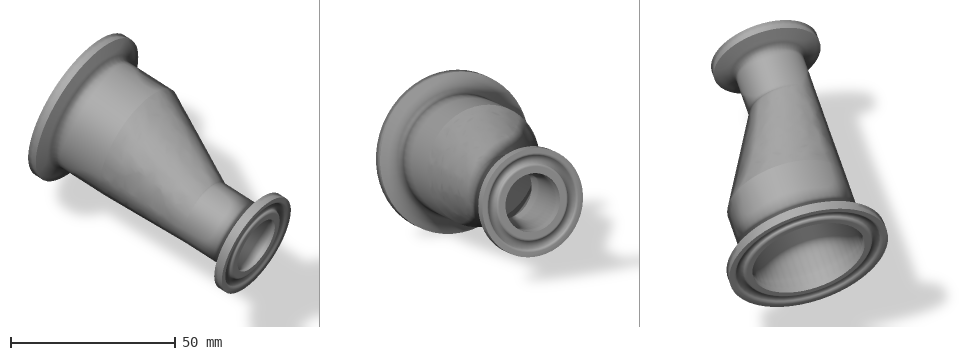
import cadquery as cq
import math

length = 75.0
cone_start = 23.0
cone_end = 55.05

large_flange_d = 50.5
large_tube_d = 38.1
large_bore_d = 35.7

small_flange_d = 34.0
small_tube_d = 21.7
small_bore_d = 18.4
small_axis_y = (small_tube_d - large_tube_d) / 2

rim_thickness = 2.9
back_slope = 20.0
neck_fillet = 1.9

groove_inset = 3.6
groove_depth = 1.6
floor_radius = 1.35
lip_radius = 0.8


def revolve_about_x(profile):
    """Close an (axial, radial) profile and revolve it about the X axis."""
    return profile.close().revolve(360, (0, 0, 0), (1, 0, 0))


def gasket_groove(flange_d):
    """Ring cutter for the groove in the flange face at X = 0."""
    middle_r = flange_d / 2 - groove_inset
    floor_center_x = groove_depth - floor_radius
    center_gap = floor_radius + lip_radius
    lip_rise = lip_radius - floor_center_x
    lip_offset = math.sqrt(center_gap**2 - lip_rise**2)
    blend_x = floor_center_x + lip_rise * floor_radius / center_gap
    blend_offset = lip_offset * floor_radius / center_gap
    lip_half_angle = math.atan2(lip_offset, lip_rise) / 2
    lip_mid_x = lip_radius * (1 - math.cos(lip_half_angle))
    lip_mid_offset = lip_offset - lip_radius * math.sin(lip_half_angle)
    return revolve_about_x(
        cq.Workplane("XY")
        .moveTo(0, middle_r - lip_offset)
        .threePointArc((lip_mid_x, middle_r - lip_mid_offset), (blend_x, middle_r - blend_offset))
        .threePointArc((groove_depth, middle_r), (blend_x, middle_r + blend_offset))
        .threePointArc((lip_mid_x, middle_r + lip_mid_offset), (0, middle_r + lip_offset))
    )


def flanged_tube(flange_d, tube_d, tube_length):
    """Solid tube end with its flange face at X = 0, running toward +X."""
    flange_r = flange_d / 2
    tube_r = tube_d / 2
    slope = math.radians(back_slope)
    corner_x = rim_thickness + (flange_r - tube_r) * math.tan(slope)
    turn = math.pi / 2 - slope
    fillet_end_x = corner_x + neck_fillet * math.tan(turn / 2)
    fillet_start_x = fillet_end_x - neck_fillet * math.sin(turn)
    fillet_start_r = tube_r + neck_fillet * (1 - math.cos(turn))
    fillet_mid_x = fillet_end_x - neck_fillet * math.sin(turn / 2)
    fillet_mid_r = tube_r + neck_fillet * (1 - math.cos(turn / 2))
    body = revolve_about_x(
        cq.Workplane("XY")
        .moveTo(0, 0)
        .lineTo(0, flange_r)
        .lineTo(rim_thickness, flange_r)
        .lineTo(fillet_start_x, fillet_start_r)
        .threePointArc((fillet_mid_x, fillet_mid_r), (fillet_end_x, tube_r))
        .lineTo(tube_length, tube_r)
        .lineTo(tube_length, 0)
    )
    return body.cut(gasket_groove(flange_d))


def at_small_end(shape):
    """Turn a tube end to face +X and move it onto the small axis."""
    return shape.rotate((0, 0, 0), (0, 0, 1), 180).translate((length, small_axis_y, 0))


def cylinder(diameter, height):
    """Cylinder along +X from X = 0."""
    return cq.Workplane("YZ").circle(diameter / 2).extrude(height)


def eccentric_cone(large_d, small_d):
    """Straight-sided transition between the large and small axes."""
    return (
        cq.Workplane("YZ", origin=(cone_start, 0, 0))
        .circle(large_d / 2)
        .workplane(offset=cone_end - cone_start)
        .center(small_axis_y, 0)
        .circle(small_d / 2)
        .loft(ruled=True)
    )


small_length = length - cone_end

outside = (
    flanged_tube(large_flange_d, large_tube_d, cone_start)
    .union(eccentric_cone(large_tube_d, small_tube_d))
    .union(at_small_end(flanged_tube(small_flange_d, small_tube_d, small_length)))
)

result = (
    outside.cut(cylinder(large_bore_d, cone_start))
    .cut(eccentric_cone(large_bore_d, small_bore_d))
    .cut(at_small_end(cylinder(small_bore_d, small_length)))
)